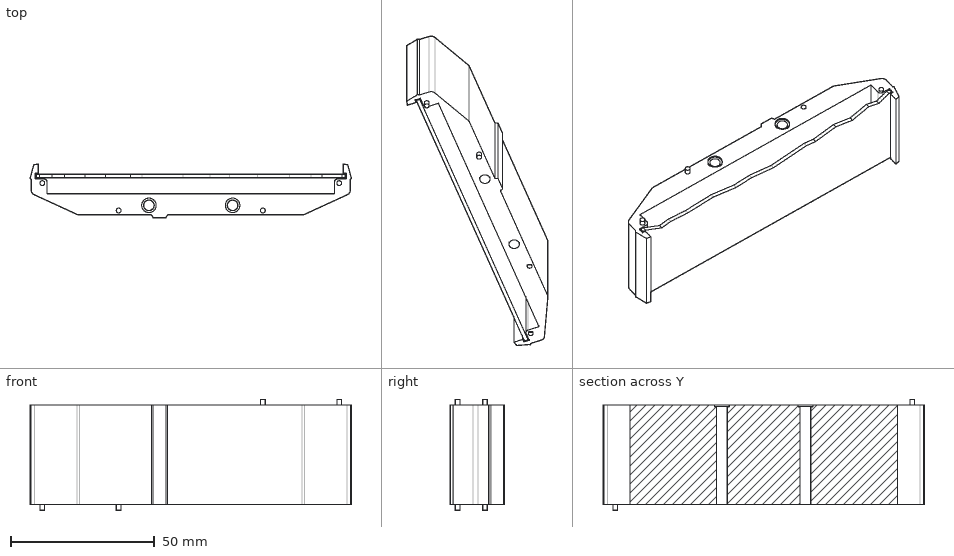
import cadquery as cq

LENGTH = 111.8
HEIGHT = 38.6
HOUSING_HEIGHT = 34.7
BACK_Y = 9.4
RIB_Y = -9.4

TOP_Z = HOUSING_HEIGHT / 2
BOTTOM_Z = -TOP_Z
HALF_LENGTH = LENGTH / 2

FRONT_Y = -8.4
FRONT_HALF_WIDTH = 39.1
BEND_RADIUS = 1.9
SIDE_X = 55.5
SIDE_BEND_Y = -0.9

NIB_BASE_Y = 3.9
NIB_LOW_Y = 4.5
NIB_TOP_X = 55.7
NIB_HIGH_Y = 4.9
ARM_SHOULDER_X = 54.6
ARM_SHOULDER_Y = 9.0
ARM_INNER_X = 52.9

CAVITY_X = 49.9
CAVITY_FLOOR_Y = -1.0
LIP_RADIUS = 1.1

RIB_X = -10.8
RIB_BASE_WIDTH = 5.6
RIB_FACE_WIDTH = 4.5

SCREW_X = 14.5
SCREW_Y = -5.0
SCREW_DIAMETER = 3.6
COUNTERBORE_DIAMETER = 5.0
COUNTERBORE_DEPTH = 0.6

PIN_DIAMETER = 1.7
PIN_HEIGHT = (HEIGHT - HOUSING_HEIGHT) / 2
OUTER_PIN = (51.5, 2.7)
INNER_PIN = (25.0, -6.8)

PANEL_BACK_Y = 5.8
PANEL_THICKNESS = 1.3
PANEL_HALF_LENGTH = 53.7
PANEL_TAB_X = 52.5
SLOT_CLEARANCE = 0.3

SLOT_X = PANEL_HALF_LENGTH + SLOT_CLEARANCE
SLOT_BACK_Y = PANEL_BACK_Y + SLOT_CLEARANCE
LIP_Y = PANEL_BACK_Y - PANEL_THICKNESS - SLOT_CLEARANCE

WAVE = [
    (-48.2, 15.1), (-43.8, 16.3), (-36.8, 14.0), (-29.6, 15.4),
    (-20.9, 13.6), (-16.9, 14.2), (-2.7, 12.3), (6.7, 13.5),
    (13.4, 13.0), (23.3, 14.6), (34.3, 13.9), (41.7, 14.4), (45.5, 13.6),
]


def mirrored(points):
    """Points reflected to the other side of the YZ plane."""
    return [(-x, y) for x, y in points]


def upright_edges(body, points):
    """Vertical edges of the body that pass through the given (X, Y) points."""
    edges = []
    for point in points:
        nearest = cq.selectors.NearestToPointSelector((*point, 0))
        edges.append(body.edges(nearest).val())
    return body.newObject(edges)


def housing_shell():
    """Extruded housing profile: front wall, sloping ends and slotted end arms."""
    right_half = [
        (FRONT_HALF_WIDTH, FRONT_Y),
        (SIDE_X, SIDE_BEND_Y),
        (SIDE_X, NIB_BASE_Y),
        (HALF_LENGTH, NIB_LOW_Y),
        (NIB_TOP_X, NIB_HIGH_Y),
        (ARM_SHOULDER_X, ARM_SHOULDER_Y),
        (ARM_INNER_X, BACK_Y),
        (ARM_INNER_X, SLOT_BACK_Y),
        (SLOT_X, SLOT_BACK_Y),
        (SLOT_X, LIP_Y),
        (CAVITY_X, LIP_Y),
        (CAVITY_X, CAVITY_FLOOR_Y),
    ]
    left_half = mirrored(reversed(right_half))
    shell = (
        cq.Workplane("XY", origin=(0, 0, BOTTOM_Z))
        .polyline(right_half + left_half)
        .close()
        .extrude(HOUSING_HEIGHT)
    )
    right_bends = [(FRONT_HALF_WIDTH, FRONT_Y), (SIDE_X, SIDE_BEND_Y)]
    right_lip = [(CAVITY_X, LIP_Y)]
    shell = upright_edges(shell, right_bends + mirrored(right_bends)).fillet(BEND_RADIUS)
    return upright_edges(shell, right_lip + mirrored(right_lip)).fillet(LIP_RADIUS)


def front_rib():
    """Full-height rib with slanted flanks on the front face."""
    return (
        cq.Workplane("XY", origin=(RIB_X, 0, BOTTOM_Z))
        .polyline([
            (-RIB_BASE_WIDTH / 2, FRONT_Y),
            (-RIB_FACE_WIDTH / 2, RIB_Y),
            (RIB_FACE_WIDTH / 2, RIB_Y),
            (RIB_BASE_WIDTH / 2, FRONT_Y),
        ])
        .close()
        .extrude(HOUSING_HEIGHT)
    )


def pegs(points, base_z):
    """Cylinders of pin size that rise from base_z."""
    return (
        cq.Workplane("XY", origin=(0, 0, base_z))
        .pushPoints(points)
        .circle(PIN_DIAMETER / 2)
        .extrude(PIN_HEIGHT)
    )


def make_housing():
    housing = housing_shell().union(front_rib())

    housing = (
        housing.faces(">Z")
        .workplane(origin=(0, 0, TOP_Z))
        .pushPoints([(-SCREW_X, SCREW_Y), (SCREW_X, SCREW_Y)])
        .cboreHole(SCREW_DIAMETER, COUNTERBORE_DIAMETER, COUNTERBORE_DEPTH)
    )

    right_pins = [OUTER_PIN, INNER_PIN]
    left_pins = mirrored(right_pins)
    housing = housing.union(pegs(right_pins, TOP_Z))
    housing = housing.union(pegs(left_pins, BOTTOM_Z - PIN_HEIGHT))
    housing = housing.cut(pegs(left_pins, TOP_Z - PIN_HEIGHT))
    return housing.cut(pegs(right_pins, BOTTOM_Z))


def make_panel():
    """Thin wavy-topped panel with flat end tabs in the housing slots."""
    outline = [
        (-PANEL_HALF_LENGTH, BOTTOM_Z),
        (-PANEL_HALF_LENGTH, TOP_Z),
        (-PANEL_TAB_X, TOP_Z),
        *WAVE,
        (PANEL_TAB_X, TOP_Z),
        (PANEL_HALF_LENGTH, TOP_Z),
        (PANEL_HALF_LENGTH, BOTTOM_Z),
    ]
    return (
        cq.Workplane("XZ", origin=(0, PANEL_BACK_Y, 0))
        .polyline(outline)
        .close()
        .extrude(PANEL_THICKNESS)
    )


housing = make_housing()
panel = make_panel()

result = cq.Compound.makeCompound([housing.val(), panel.val()])